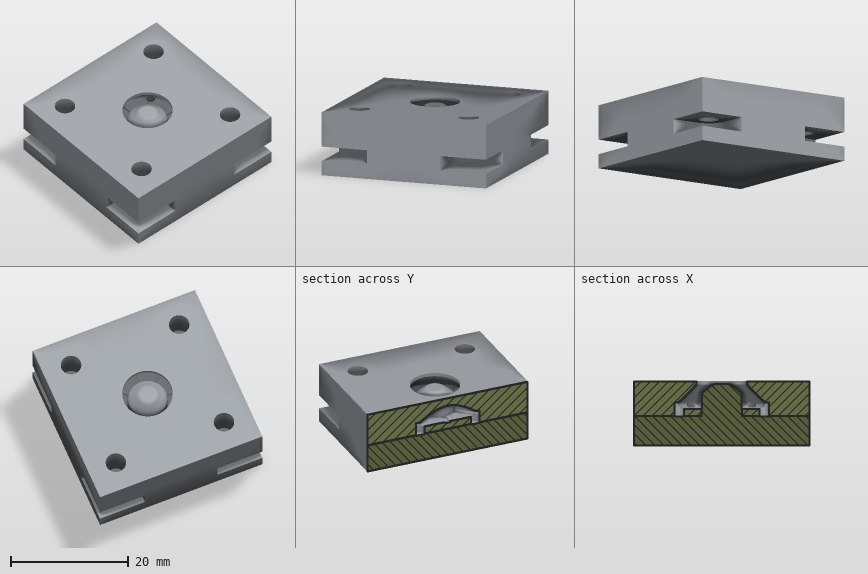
import cadquery as cq
import math

SIDE = 30.0
BASE_HEIGHT = 5.0
BLOCK_HEIGHT = 6.0
TOP_Z = BASE_HEIGHT + BLOCK_HEIGHT

SCREW_INSET = 5.0
SCREW_DIAMETER = 3.5
NOTCH_RADIUS = 3.3
NOTCH_FLOOR_Z = 2.5

MOUTH_RADIUS = 8.6 / 2
LIP_DEPTH = 0.6
CAVITY_DEPTH = 4.5
CAVITY_WALL_ANGLE = 45.0
CAVITY_FILLET = 0.5
CAVITY_FLOOR_Z = TOP_Z - CAVITY_DEPTH

GROOVE_COUNT = 8
GROOVE_WIDTH = 0.8
GROOVE_DEPTH = 0.2
POCKET_RADIUS = 2.0 / 2
POCKET_HEIGHT = 0.85
POCKET_CENTER = 7.0
DRILL_RADIUS = 0.75
DRILL_CENTER = POCKET_CENTER + POCKET_RADIUS - DRILL_RADIUS
GROOVE_FLOOR_Z = CAVITY_FLOOR_Z - GROOVE_DEPTH

PIN_RADIUS = 6.8 / 2
PIN_TOP_Z = TOP_Z - 0.45
PIN_TIP_RADIUS = 1.6
PIN_CONE_ANGLE = 39.0
PIN_TIP_FILLET = 0.95
PIN_RIM_FILLET = 0.42

Z_AXIS = ((0, 0, 0), (0, 0, 1))


def cylinder(radius, x, y, bottom, top):
    """Upright cylinder around (x, y) between two heights."""
    return cq.Workplane("XY", origin=(x, y, bottom)).circle(radius).extrude(top - bottom)


def revolve_profile(points):
    """Solid of revolution around Z from (radius, height) corner points."""
    return cq.Workplane("XZ").polyline(points).close().revolve(360, (0, 0, 0), (0, 1, 0))


def screw_centers():
    offset = SIDE / 2 - SCREW_INSET
    return [(x, y) for x in (-offset, offset) for y in (-offset, offset)]


def make_cavity():
    """Round mouth that widens downward to a flat floor with a rounded edge."""
    lip_z = TOP_Z - LIP_DEPTH
    wall_spread = (lip_z - CAVITY_FLOOR_Z) * math.tan(math.radians(CAVITY_WALL_ANGLE))
    cavity = revolve_profile([
        (0, CAVITY_FLOOR_Z),
        (MOUTH_RADIUS + wall_spread, CAVITY_FLOOR_Z),
        (MOUTH_RADIUS, lip_z),
        (MOUTH_RADIUS, TOP_Z),
        (0, TOP_Z),
    ])
    return cavity.faces("<Z").edges().fillet(CAVITY_FILLET)


def make_groove():
    """One radial groove along +X with the pocket and drilled hole at its outer end."""
    groove = (
        cq.Workplane("XY", origin=(POCKET_CENTER / 2, 0, GROOVE_FLOOR_Z))
        .rect(POCKET_CENTER, GROOVE_WIDTH)
        .extrude(GROOVE_DEPTH)
    )
    pocket = cylinder(POCKET_RADIUS, POCKET_CENTER, 0, CAVITY_FLOOR_Z, CAVITY_FLOOR_Z + POCKET_HEIGHT)
    drill = cylinder(DRILL_RADIUS, DRILL_CENTER, 0, BASE_HEIGHT, CAVITY_FLOOR_Z)
    return groove.union(pocket).union(drill)


def make_block():
    """Top block with screw holes, cavity, floor grooves and the bore for the pin."""
    block = cq.Workplane("XY", origin=(0, 0, BASE_HEIGHT)).rect(SIDE, SIDE).extrude(BLOCK_HEIGHT)
    for x, y in screw_centers():
        block = block.cut(cylinder(SCREW_DIAMETER / 2, x, y, BASE_HEIGHT, TOP_Z))
    block = block.cut(make_cavity())
    groove = make_groove()
    for index in range(GROOVE_COUNT):
        block = block.cut(groove.rotate(*Z_AXIS, index * 360 / GROOVE_COUNT))
    return block.cut(cylinder(PIN_RADIUS, 0, 0, BASE_HEIGHT, CAVITY_FLOOR_Z))


def make_pin():
    """Round pin with a conical head, a rounded flat tip and a rounded rim."""
    rim_z = PIN_TOP_Z - (PIN_RADIUS - PIN_TIP_RADIUS) * math.tan(math.radians(PIN_CONE_ANGLE))
    pin = revolve_profile([
        (0, BASE_HEIGHT),
        (PIN_RADIUS, BASE_HEIGHT),
        (PIN_RADIUS, rim_z),
        (PIN_TIP_RADIUS, PIN_TOP_Z),
        (0, PIN_TOP_Z),
    ])
    pin = pin.faces("%CONE").edges("%CIRCLE and <Z").fillet(PIN_RIM_FILLET)
    return pin.faces(">Z").edges().fillet(PIN_TIP_FILLET)


def make_notch():
    """Cutter for the notch at the +X +Y corner, with a rounded inner corner."""
    length = SCREW_INSET + NOTCH_RADIUS
    center = (SIDE - length) / 2
    return (
        cq.Workplane("XY", origin=(center, center, NOTCH_FLOOR_Z))
        .rect(length, length)
        .extrude(BASE_HEIGHT - NOTCH_FLOOR_Z)
        .edges("|Z and <X and <Y")
        .fillet(NOTCH_RADIUS)
    )


def make_base():
    """Base plate with four corner notches and the central pin."""
    base = cq.Workplane("XY").rect(SIDE, SIDE).extrude(BASE_HEIGHT)
    notch = make_notch()
    for quarter in range(4):
        base = base.cut(notch.rotate(*Z_AXIS, quarter * 90))
    return base.union(make_pin())


block = make_block()
base = make_base()
result = cq.Compound.makeCompound([block.solids().val(), base.solids().val()])